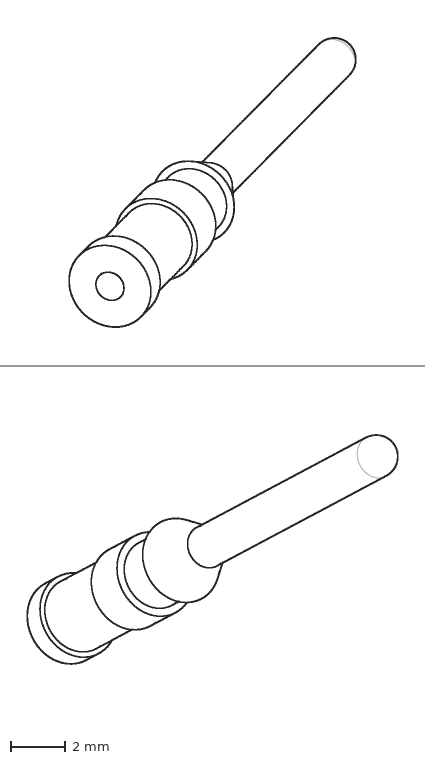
import cadquery as cq

TOTAL_LENGTH = 25.0
END_FLANGE_LENGTH = 1.0
BARREL_LENGTH = 4.0
COLLAR_LENGTH = 2.0
NECK_LENGTH = 2.0
CONE_LENGTH = 2.0

FLANGE_DIAMETER = 3.2
BARREL_DIAMETER = 2.8
NECK_DIAMETER = 2.6
PIN_DIAMETER = 1.6
BORE_DIAMETER = 1.1

BORE_DEPTH = END_FLANGE_LENGTH + BARREL_LENGTH

FLANGE_END = END_FLANGE_LENGTH
BARREL_END = FLANGE_END + BARREL_LENGTH
COLLAR_END = BARREL_END + COLLAR_LENGTH
NECK_END = COLLAR_END + NECK_LENGTH
CONE_END = NECK_END + CONE_LENGTH
TIP_START = TOTAL_LENGTH - PIN_DIAMETER / 2


def turned_body():
    """Revolve the half outline of the contact about the Y axis."""
    flange_radius = FLANGE_DIAMETER / 2
    barrel_radius = BARREL_DIAMETER / 2
    neck_radius = NECK_DIAMETER / 2
    pin_radius = PIN_DIAMETER / 2
    outline = (
        cq.Workplane("XY")
        .moveTo(0, 0)
        .lineTo(flange_radius, 0)
        .lineTo(flange_radius, FLANGE_END)
        .lineTo(barrel_radius, FLANGE_END)
        .lineTo(barrel_radius, BARREL_END)
        .lineTo(flange_radius, BARREL_END)
        .lineTo(flange_radius, COLLAR_END)
        .lineTo(neck_radius, COLLAR_END)
        .lineTo(neck_radius, NECK_END)
        .lineTo(flange_radius, NECK_END)
        .lineTo(pin_radius, CONE_END)
        .lineTo(pin_radius, TIP_START)
        .radiusArc((0, TOTAL_LENGTH), -pin_radius)
        .close()
    )
    return outline.revolve(360, (0, 0, 0), (0, 1, 0))


def wire_bore():
    """Blind crimp bore entering from the flange face."""
    return cq.Workplane("XZ").circle(BORE_DIAMETER / 2).extrude(-BORE_DEPTH)


result = turned_body().cut(wire_bore())